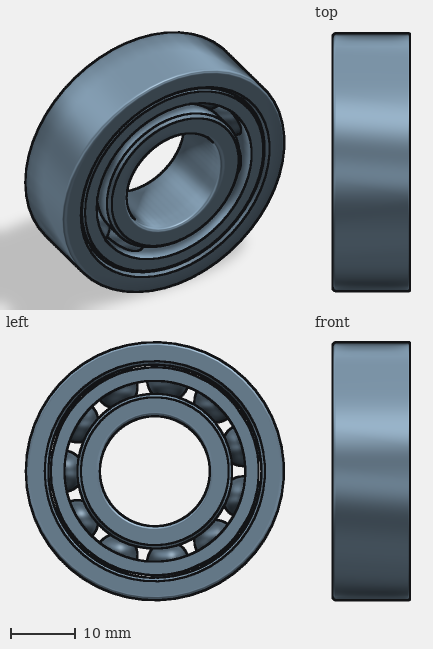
import cadquery as cq
import math

WIDTH = 12.01
MID_X = WIDTH / 2
OUTSIDE_RADIUS = 20.0
BORE_RADIUS = 8.5

OUTER_LAND_RADIUS = 16.5
INNER_LAND_RADIUS = 12.0
LAND_CHAMFER = 0.55
EDGE_FILLET = 0.6
OUTSIDE_FAR_FILLET = 0.3

BALL_COUNT = 11
BALL_RADIUS = 3.25
PITCH_RADIUS = (OUTER_LAND_RADIUS + INNER_LAND_RADIUS) / 2
GROOVE_CLEARANCE = 0.13
GROOVE_RADIUS = BALL_RADIUS + GROOVE_CLEARANCE

CAGE_INNER_RADIUS = 14.0
CAGE_OUTER_RADIUS = 16.1
CAGE_RECESS = 0.3
CAGE_WIDTH = WIDTH - 2 * CAGE_RECESS


def tube(inner_radius, outer_radius, width):
    """Plain tube about the X axis, centred on the middle of the bearing."""
    section = cq.Workplane("YZ").workplane(offset=MID_X - width / 2)
    return section.circle(outer_radius).circle(inner_radius).extrude(width)


def inside_edge(ring, face):
    """The smaller circular edge on an end face of a ring."""
    return ring.faces(face).edges(cq.selectors.RadiusNthSelector(0))


def outside_edge(ring, face):
    """The larger circular edge on an end face of a ring."""
    return ring.faces(face).edges(cq.selectors.RadiusNthSelector(-1))


def raceway(groove_centre_radius):
    """Torus about the X axis that cuts a ball groove into a ring."""
    section = cq.Workplane("XY").center(MID_X, groove_centre_radius).circle(GROOVE_RADIUS)
    return section.revolve(360, (0, -groove_centre_radius, 0), (1, -groove_centre_radius, 0))


def make_outer_ring():
    ring = tube(OUTER_LAND_RADIUS, OUTSIDE_RADIUS, WIDTH)
    ring = outside_edge(ring, "<X").fillet(EDGE_FILLET)
    ring = outside_edge(ring, ">X").fillet(OUTSIDE_FAR_FILLET)
    for face in ("<X", ">X"):
        ring = inside_edge(ring, face).chamfer(LAND_CHAMFER)
    return ring.cut(raceway(PITCH_RADIUS - GROOVE_CLEARANCE))


def make_inner_ring():
    ring = tube(BORE_RADIUS, INNER_LAND_RADIUS, WIDTH)
    for face in ("<X", ">X"):
        ring = inside_edge(ring, face).fillet(EDGE_FILLET)
        ring = outside_edge(ring, face).chamfer(LAND_CHAMFER)
    return ring.cut(raceway(PITCH_RADIUS + GROOVE_CLEARANCE))


def make_ball_cage():
    """Cage band and the balls it holds, as one body; the first ball lies on +Y."""
    cage = tube(CAGE_INNER_RADIUS, CAGE_OUTER_RADIUS, CAGE_WIDTH)
    for index in range(BALL_COUNT):
        angle = 2 * math.pi * index / BALL_COUNT
        centre = (MID_X, PITCH_RADIUS * math.cos(angle), PITCH_RADIUS * math.sin(angle))
        ball = cq.Workplane("XY").sphere(BALL_RADIUS).translate(centre)
        cage = cage.union(ball)
    return cage


outer_ring = make_outer_ring().solids()
inner_ring = make_inner_ring().solids()
ball_cage = make_ball_cage().solids()

result = cq.Compound.makeCompound([outer_ring.val(), inner_ring.val(), ball_cage.val()])